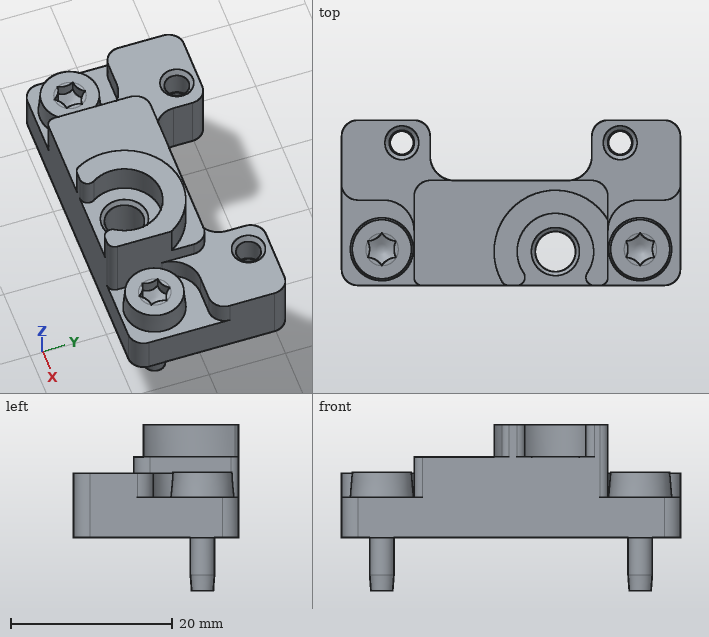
import cadquery as cq
import math

WIDTH = 42.0
DEPTH = 20.5
PLATE_HEIGHT = 8.0
CORNER_RADIUS = 2.0
NOTCH_WIDTH = 20.0
WEB_DEPTH = 13.0
NOTCH_RADIUS = 3.0

BLOCK_WIDTH = 24.02
BLOCK_TOP = 10.0
SMALL_RADIUS = 1.0

STEP_HEIGHT = 5.0
STEP_DEPTH = 10.6
STEP_INNER_RADIUS = 3.8

COLLAR_TOP = 14.0
COLLAR_X = 5.5
COLLAR_Y = 4.2
COLLAR_OUTER_RADIUS = 7.6
COLLAR_INNER_RADIUS = 4.75

BORE_RADIUS = 2.48
BORE_MOUTH_RADIUS = 3.0
REAR_HOLE_RADIUS = 1.55
REAR_HOLE_LEDGE_RADIUS = 1.43
REAR_HOLE_LEDGE_HEIGHT = PLATE_HEIGHT / 2
REAR_HOLE_MOUTH_RADIUS = 2.1
REAR_HOLE_X = 13.52
REAR_HOLE_Y = 17.7

SCREW_X = 16.0
SCREW_Y = 4.5
HEAD_TOP = 8.1
HEAD_BASE_RADIUS = 3.9
HEAD_TOP_RADIUS = 3.65
SHANK_RADIUS = 1.5
TIP_RADIUS = 1.365
TIP_START = -4.6
TIP_END = -6.6
SOCKET_RADIUS = 2.0
SOCKET_WAIST_RADIUS = 1.5
SOCKET_MOUTH_DEPTH = 0.15
SOCKET_DEPTH = 1.43
SOCKET_POINT_DEPTH = 2.3
SOCKET_LOBES = 6


def box(x_min, x_max, y_min, y_max, z_min, z_max):
    size = (x_max - x_min, y_max - y_min, z_max - z_min)
    return cq.Workplane("XY").box(*size, centered=False).translate((x_min, y_min, z_min))


def cone(base_radius, top_radius, base_z, top_z):
    """Round solid on the Z axis; a zero top radius gives a point."""
    profile = [(0, base_z), (base_radius, base_z), (top_radius, top_z), (0, top_z)]
    if top_radius == 0:
        profile.pop()
    return cq.Workplane("XZ").polyline(profile).close().revolve(360, (0, 0), (0, 1))


def plate():
    outer = box(-WIDTH / 2, WIDTH / 2, 0, DEPTH, 0, PLATE_HEIGHT)
    notch = box(-NOTCH_WIDTH / 2, NOTCH_WIDTH / 2, WEB_DEPTH, DEPTH, 0, PLATE_HEIGHT)
    notched = outer.cut(notch)
    margin = CORNER_RADIUS
    inside = cq.selectors.BoxSelector(
        (-WIDTH / 2, margin, 0), (WIDTH / 2, DEPTH - margin, PLATE_HEIGHT)
    )
    notched = notched.edges("|Z").edges(inside).fillet(NOTCH_RADIUS)
    return notched.edges("|Z").edges("<Y or >Y").fillet(CORNER_RADIUS)


def block(top):
    """Block with large rear corners and small front corners, from the step level upwards."""
    blank = box(-BLOCK_WIDTH / 2, BLOCK_WIDTH / 2, 0, WEB_DEPTH, STEP_HEIGHT, top)
    rounded_rear = blank.edges("|Z and >Y").fillet(CORNER_RADIUS)
    return rounded_rear.edges("|Z and <Y").fillet(SMALL_RADIUS)


def corner_step(side):
    """Material removed above one front corner, beside the block; side is -1 for left, 1 for right."""
    wall_x = BLOCK_WIDTH / 2
    edge_x = WIDTH / 2
    diagonal = math.sqrt(0.5)
    inner_mid = STEP_INNER_RADIUS * (1 - diagonal)
    block_mid = SMALL_RADIUS * (1 - diagonal)
    outer_mid = CORNER_RADIUS * (1 - diagonal)
    outline = (
        cq.Workplane("XY", origin=(0, 0, STEP_HEIGHT))
        .moveTo(side * (wall_x - SMALL_RADIUS), 0)
        .threePointArc(
            (side * (wall_x - block_mid), block_mid),
            (side * wall_x, SMALL_RADIUS),
        )
        .lineTo(side * wall_x, STEP_DEPTH - STEP_INNER_RADIUS)
        .threePointArc(
            (side * (wall_x + inner_mid), STEP_DEPTH - inner_mid),
            (side * (wall_x + STEP_INNER_RADIUS), STEP_DEPTH),
        )
        .lineTo(side * (edge_x - CORNER_RADIUS), STEP_DEPTH)
        .threePointArc(
            (side * (edge_x - outer_mid), STEP_DEPTH + outer_mid),
            (side * edge_x, STEP_DEPTH + CORNER_RADIUS),
        )
        .lineTo(side * edge_x, 0)
        .close()
    )
    return outline.extrude(PLATE_HEIGHT - STEP_HEIGHT)


def collar():
    """C-shaped ring with rounded tips that touch the front face, trimmed to the block's footprint."""
    tip_drop = COLLAR_Y - SMALL_RADIUS
    outer_reach = COLLAR_OUTER_RADIUS - SMALL_RADIUS
    inner_reach = COLLAR_INNER_RADIUS + SMALL_RADIUS
    outer_offset = math.sqrt(outer_reach**2 - tip_drop**2)
    inner_offset = math.sqrt(inner_reach**2 - tip_drop**2)

    outer_x = outer_offset * COLLAR_OUTER_RADIUS / outer_reach
    outer_y = -tip_drop * COLLAR_OUTER_RADIUS / outer_reach
    inner_x = inner_offset * COLLAR_INNER_RADIUS / inner_reach
    inner_y = -tip_drop * COLLAR_INNER_RADIUS / inner_reach

    outline = (
        cq.Workplane("XY", origin=(COLLAR_X, COLLAR_Y, BLOCK_TOP))
        .moveTo(-inner_offset, -COLLAR_Y)
        .lineTo(-outer_offset, -COLLAR_Y)
        .tangentArcPoint((-outer_x, outer_y), relative=False)
        .threePointArc((0, COLLAR_OUTER_RADIUS), (outer_x, outer_y))
        .tangentArcPoint((outer_offset, -COLLAR_Y), relative=False)
        .lineTo(inner_offset, -COLLAR_Y)
        .tangentArcPoint((inner_x, inner_y), relative=False)
        .threePointArc((0, COLLAR_INNER_RADIUS), (-inner_x, inner_y))
        .tangentArcPoint((-inner_offset, -COLLAR_Y), relative=False)
        .close()
    )
    return outline.extrude(COLLAR_TOP - BLOCK_TOP).intersect(block(COLLAR_TOP))


def countersunk_hole(radius, mouth_radius, bottom, top):
    """Cutter for a hole with a 45 degree countersink at its top."""
    drill = cone(radius, radius, bottom, top)
    countersink = cone(radius, mouth_radius, top - (mouth_radius - radius), top)
    return drill.union(countersink)


def collar_bore():
    bore = countersunk_hole(BORE_RADIUS, BORE_MOUTH_RADIUS, 0, BLOCK_TOP)
    return bore.translate((COLLAR_X, COLLAR_Y, 0))


def rear_hole(side):
    """Countersunk hole that narrows below a small ledge."""
    upper = countersunk_hole(
        REAR_HOLE_RADIUS, REAR_HOLE_MOUTH_RADIUS, REAR_HOLE_LEDGE_HEIGHT, PLATE_HEIGHT
    )
    lower = cone(REAR_HOLE_LEDGE_RADIUS, REAR_HOLE_LEDGE_RADIUS, 0, PLATE_HEIGHT)
    return upper.union(lower).translate((side * REAR_HOLE_X, REAR_HOLE_Y, 0))


def socket():
    """Six-lobed screw socket with inward-bowed walls, a shallow conical mouth and a pointed floor."""
    pitch = 2 * math.pi / SOCKET_LOBES
    lowest = HEAD_TOP - SOCKET_POINT_DEPTH
    outline = cq.Workplane("XY", origin=(0, 0, lowest)).moveTo(0, SOCKET_RADIUS)
    for lobe in range(SOCKET_LOBES):
        waist = (lobe + 0.5) * pitch
        tip = (lobe + 1) * pitch
        outline = outline.threePointArc(
            (SOCKET_WAIST_RADIUS * math.sin(waist), SOCKET_WAIST_RADIUS * math.cos(waist)),
            (SOCKET_RADIUS * math.sin(tip), SOCKET_RADIUS * math.cos(tip)),
        )
    lobes = outline.close().extrude(SOCKET_POINT_DEPTH)
    straight = cone(SOCKET_RADIUS, SOCKET_RADIUS, HEAD_TOP - SOCKET_DEPTH, HEAD_TOP)
    floor = cone(SOCKET_RADIUS, 0, HEAD_TOP - SOCKET_DEPTH, lowest)
    mouth = cone(SOCKET_RADIUS, 0, HEAD_TOP, HEAD_TOP - SOCKET_MOUTH_DEPTH)
    return lobes.intersect(straight.union(floor)).union(mouth)


def screw():
    head = cone(HEAD_BASE_RADIUS, HEAD_TOP_RADIUS, STEP_HEIGHT, HEAD_TOP)
    shank = cone(SHANK_RADIUS, SHANK_RADIUS, TIP_START, STEP_HEIGHT)
    tip = cone(TIP_RADIUS, SHANK_RADIUS, TIP_END, TIP_START)
    return head.union(shank).union(tip).cut(socket())


body = plate()
for side in (-1, 1):
    body = body.cut(corner_step(side))
body = body.union(block(BLOCK_TOP)).union(collar())

body = body.cut(collar_bore())
for side in (-1, 1):
    body = body.cut(rear_hole(side))
    body = body.union(screw().translate((side * SCREW_X, SCREW_Y, 0)))

result = body